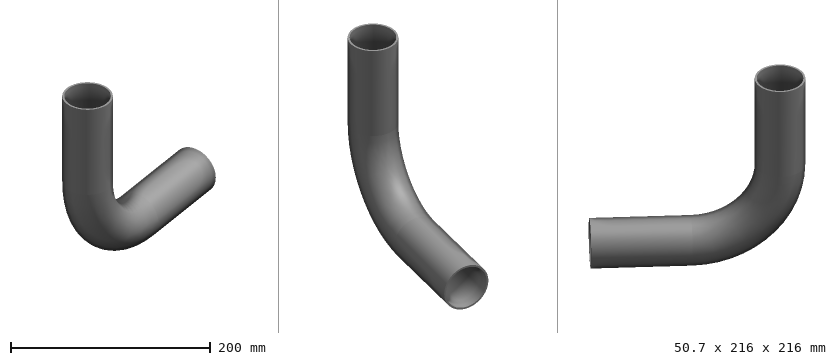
import cadquery as cq
import math

overall_length = 216.0
outer_diameter = 50.7
inner_diameter = 46.6
bend_radius = 89.0

leg_length = overall_length - bend_radius - outer_diameter / 2
leg_end = bend_radius + leg_length

bend_middle = bend_radius * (1 - math.cos(math.pi / 4))
centreline = (
    cq.Workplane("YZ")
    .moveTo(0, leg_end)
    .lineTo(0, bend_radius)
    .threePointArc((bend_middle, bend_middle), (bend_radius, 0))
    .lineTo(leg_end, 0)
)

result = (
    cq.Workplane("XY", origin=(0, 0, leg_end))
    .circle(outer_diameter / 2)
    .circle(inner_diameter / 2)
    .sweep(centreline)
)